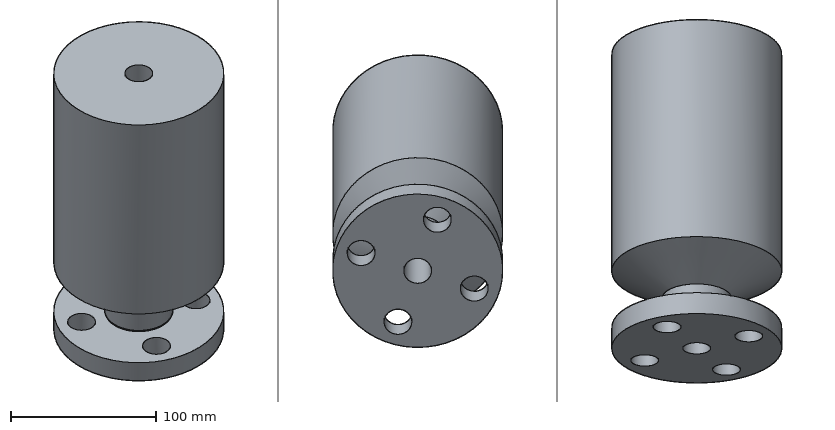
import cadquery as cq
import math

total_height = 222.2
body_diameter = 117.3
flange_thickness = 15.8
neck_diameter = 47.5
neck_top = 38.0
foot_inset = 0.5
foot_height = 0.7
foot_bevel_height = 0.7
cone_angle = 30.0
hole_diameter = 19.1
bolt_circle_radius = 41.3
bolt_count = 4

body_radius = body_diameter / 2
neck_radius = neck_diameter / 2
foot_radius = neck_radius - foot_inset
foot_top = flange_thickness + foot_height
cone_height = (body_radius - neck_radius) * math.tan(math.radians(cone_angle))
cone_top = neck_top + cone_height


def turned_body():
    """Flange, neck, cone and main cylinder revolved about the Z axis."""
    profile = (
        cq.Workplane("XZ")
        .lineTo(body_radius, 0)
        .lineTo(body_radius, flange_thickness)
        .lineTo(foot_radius, flange_thickness)
        .lineTo(foot_radius, foot_top)
        .lineTo(neck_radius, foot_top + foot_bevel_height)
        .lineTo(neck_radius, neck_top)
        .lineTo(body_radius, cone_top)
        .lineTo(body_radius, total_height)
        .lineTo(0, total_height)
        .close()
    )
    return profile.revolve(360, (0, 0, 0), (0, 1, 0))


def central_bore():
    """Cylinder that runs the full height of the part."""
    return cq.Workplane("XY").circle(hole_diameter / 2).extrude(total_height)


def bolt_holes():
    """Cylinders through the flange, on the X and Y axes."""
    return (
        cq.Workplane("XY")
        .polarArray(bolt_circle_radius, 0, 360, bolt_count)
        .circle(hole_diameter / 2)
        .extrude(flange_thickness)
    )


result = turned_body().cut(central_bore()).cut(bolt_holes())